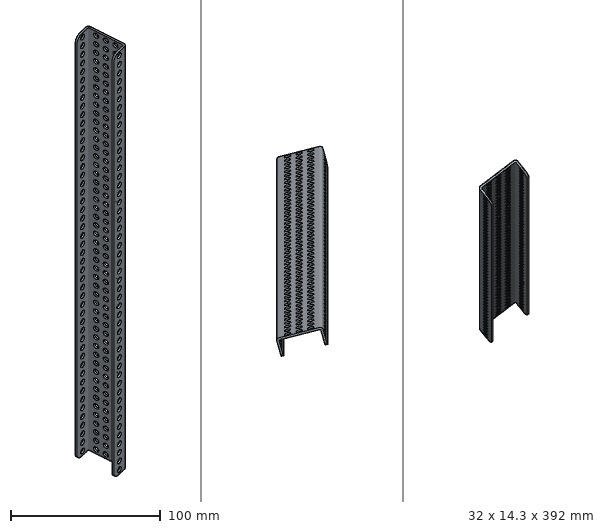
import cadquery as cq

pitch = 8.0
row_count = 49
web_column_count = 3
width = 4 * pitch
flange_depth = 14.3
sheet_thickness = 1.6
bend_inner_radius = 0.5
hole_diameter = 4.2
flange_corner_radius = 5.0

length = row_count * pitch
bend_outer_radius = bend_inner_radius + sheet_thickness
web_outer_y = flange_depth / 2
flange_hole_y = web_outer_y - pitch


def make_channel():
    """U channel along Z: web on +Y, flanges reaching to -Y, rounded bends."""
    outer = (
        cq.Workplane("XY")
        .box(width, flange_depth, length)
        .edges("|Z and >Y")
        .fillet(bend_outer_radius)
    )
    inner = (
        cq.Workplane("XY")
        .box(width - 2 * sheet_thickness, flange_depth, length)
        .edges("|Z and >Y")
        .fillet(bend_inner_radius)
        .translate((0, -sheet_thickness, 0))
    )
    return outer.cut(inner)


def round_flange_corners(channel):
    """Round the free corners at both ends of each flange."""
    return channel.faces("<Y").edges("|X").fillet(flange_corner_radius)


def drill_web(channel):
    """Grid of holes through the web."""
    holes = (
        cq.Workplane("XZ", origin=(0, web_outer_y, 0))
        .rarray(pitch, pitch, web_column_count, row_count)
        .circle(hole_diameter / 2)
        .extrude(sheet_thickness)
    )
    return channel.cut(holes)


def drill_flanges(channel):
    """One row of holes passing through both flanges."""
    holes = (
        cq.Workplane("YZ", origin=(0, flange_hole_y, 0))
        .rarray(pitch, pitch, 1, row_count)
        .circle(hole_diameter / 2)
        .extrude(width / 2, both=True)
    )
    return channel.cut(holes)


channel = make_channel()
channel = round_flange_corners(channel)
channel = drill_web(channel)
result = drill_flanges(channel)